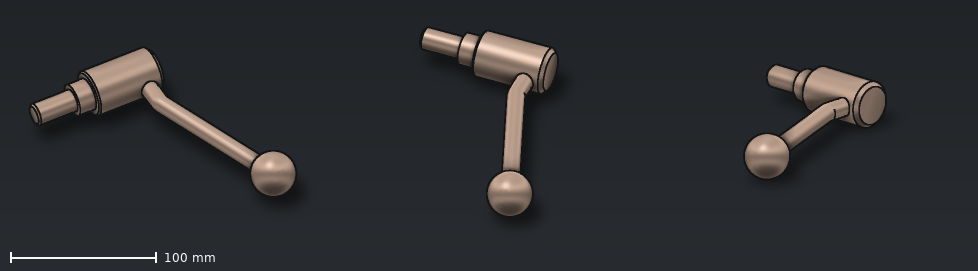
import cadquery as cq
import math

hub_diameter = 33.0
hub_length = 52.0
hub_back_chamfer = 3.0
hub_front_chamfer = 1.25
collar_diameter = 23.0
collar_length = 12.5
stud_diameter = 16.0
stud_length = 30.0
stud_chamfer = 1.5

arm_diameter = 13.0
arm_setback = 12.8
bend_angle = 20.0
bend_radius = 3.0
knob_diameter = 32.0
overall_width = 161.0
overall_depth = 132.94

collar_start = -hub_length
stud_start = collar_start - collar_length
stud_end = stud_start - stud_length

knob_x = overall_width - hub_diameter / 2 - knob_diameter / 2
knob_y = stud_end + overall_depth - knob_diameter / 2
arm_y = -arm_setback
bend_angle_rad = math.radians(bend_angle)
corner_x = knob_x - (knob_y - arm_y) / math.tan(bend_angle_rad)
bend_tangent = bend_radius * math.tan(bend_angle_rad / 2)


def shaft_along_y(diameter, start_y, length):
    """Cylinder on the Y axis, running from start_y towards -Y."""
    return cq.Workplane("XZ", origin=(0, start_y, 0)).circle(diameter / 2).extrude(length)


def make_hub():
    hub = shaft_along_y(hub_diameter, 0, hub_length)
    hub = hub.faces(">Y").chamfer(hub_back_chamfer)
    return hub.faces("<Y").chamfer(hub_front_chamfer)


def make_stud():
    collar = shaft_along_y(collar_diameter, collar_start, collar_length)
    stud = shaft_along_y(stud_diameter, stud_start, stud_length)
    return collar.union(stud.faces("<Y").chamfer(stud_chamfer))


def make_arm(start, end):
    """Round bar between two points in the XY plane."""
    direction = cq.Vector(*end) - cq.Vector(*start)
    plane = cq.Plane(origin=start, xDir=(0, 0, 1), normal=direction.toTuple())
    return cq.Workplane(plane).circle(arm_diameter / 2).extrude(direction.Length)


def make_bend(start):
    """Outer wedge of the bend: the bar section outside the bend center, revolved about it."""
    bar_radius = arm_diameter / 2
    half_chord = math.sqrt(bar_radius**2 - bend_radius**2)
    section_plane = cq.Plane(origin=start, xDir=(0, 1, 0), normal=(1, 0, 0))
    section = (
        cq.Workplane(section_plane)
        .moveTo(bend_radius, half_chord)
        .threePointArc((-bar_radius, 0), (bend_radius, -half_chord))
        .close()
    )
    return section.revolve(bend_angle, (bend_radius, -1), (bend_radius, 1))


def make_knob(center):
    return cq.Workplane("XY").sphere(knob_diameter / 2).translate(center)


def make_lever():
    root = (0, arm_y, 0)
    bend_start = (corner_x - bend_tangent, arm_y, 0)
    bend_end = (
        corner_x + bend_tangent * math.cos(bend_angle_rad),
        arm_y + bend_tangent * math.sin(bend_angle_rad),
        0,
    )
    knob_center = (knob_x, knob_y, 0)
    lever = make_arm(root, bend_start).union(make_arm(bend_end, knob_center))
    return lever.union(make_bend(bend_start)).union(make_knob(knob_center))


result = make_hub().union(make_stud()).union(make_lever())